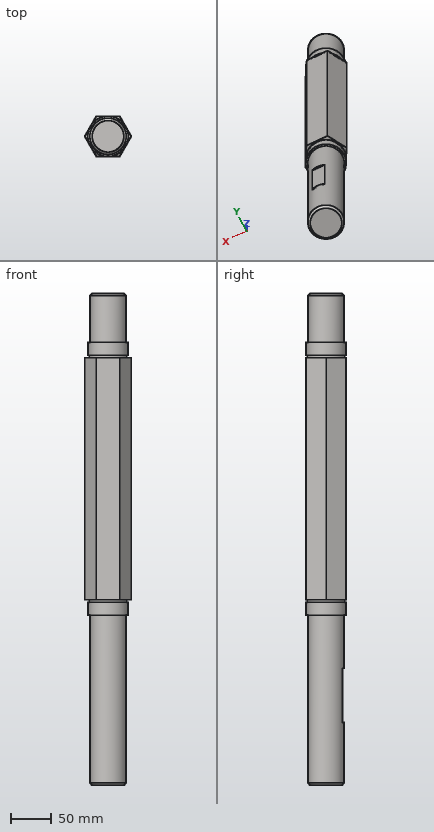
import cadquery as cq
import math

length = 610.0
body_diameter = 45.0
end_chamfer_height = 3.0
end_chamfer_inset = 3.0

across_flats = 50.0
across_corners = across_flats / math.cos(math.pi / 6)
hex_length = 300.0
hex_top_depth = 80.0

collar_diameter = across_flats
collar_length = 16.0
neck_length = 3.0
neck_diameter = 47.0

flat_length = 67.0
flat_bottom_height = 78.0
flat_depth = 2.0

top_z = length / 2
bottom_z = -length / 2
hex_top_z = top_z - hex_top_depth
hex_bottom_z = hex_top_z - hex_length


def make_body():
    """Full-length round shaft with both ends chamfered."""
    radius = body_diameter / 2
    end_radius = radius - end_chamfer_inset
    outline = [
        (0, bottom_z),
        (end_radius, bottom_z),
        (radius, bottom_z + end_chamfer_height),
        (radius, top_z - end_chamfer_height),
        (end_radius, top_z),
        (0, top_z),
    ]
    return cq.Workplane("XZ").polyline(outline).close().revolve(360, (0, 0, 0), (0, 1, 0))


def make_hex_grip():
    grip = cq.Workplane("XY").polygon(6, across_corners).extrude(hex_length)
    return grip.translate((0, 0, hex_bottom_z))


def make_ring(diameter, base_z, height):
    """Solid disc around the shaft axis, rising from base_z."""
    return cq.Workplane("XY").workplane(offset=base_z).circle(diameter / 2).extrude(height)


def make_flat_cutter():
    """Block whose -Y face forms the flat on the shaft."""
    cutter = cq.Workplane("XY").box(body_diameter, body_diameter, flat_length, centered=(True, False, False))
    return cutter.translate((0, body_diameter / 2 - flat_depth, bottom_z + flat_bottom_height))


upper_neck_z = hex_top_z
lower_neck_z = hex_bottom_z - neck_length
upper_collar_z = upper_neck_z + neck_length
lower_collar_z = lower_neck_z - collar_length

result = make_body().union(make_hex_grip())
for neck_z in (upper_neck_z, lower_neck_z):
    result = result.union(make_ring(neck_diameter, neck_z, neck_length))
for collar_z in (upper_collar_z, lower_collar_z):
    result = result.union(make_ring(collar_diameter, collar_z, collar_length))
result = result.cut(make_flat_cutter())